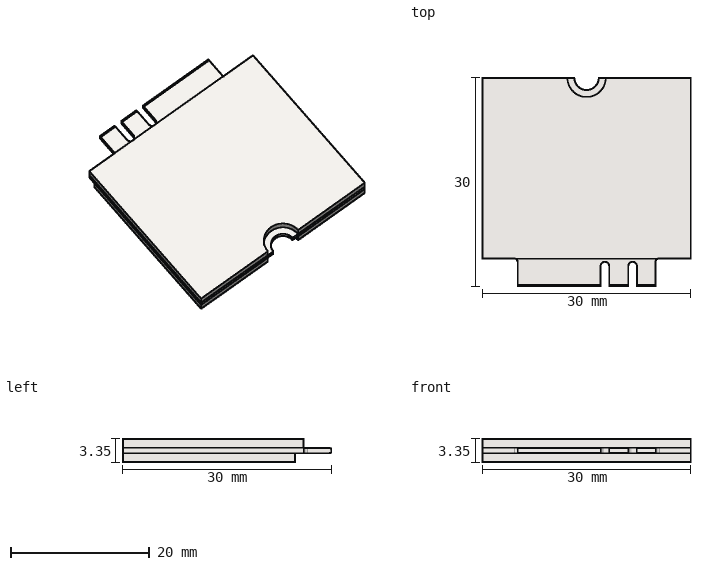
import cadquery as cq

card_width = 30.0
card_length = 30.0
card_height = 3.35
board_thickness = 0.78
cover_thickness = (card_height - board_thickness) / 2

tab_width = 19.85
tab_length = 4.0
tab_fillet = 0.5
tip_chamfer_length = 0.25
tip_chamfer_height = 0.1

key_width = 1.2
key_depth = 3.5
key_centers = (2.65, 6.63)

board_notch_radius = 1.75
cover_notch_radius = 2.75

lower_cover_setback = 1.2

back_y = card_length / 2
tip_y = -card_length / 2
shoulder_y = tip_y + tab_length
board_z = cover_thickness
upper_cover_z = board_z + board_thickness


def make_plate(front_y, base_z, thickness, notch_radius):
    """Full-width plate from front_y to the back edge, with a half-round back notch."""
    plate = cq.Workplane("XY").box(
        card_width, back_y - front_y, thickness, centered=(True, False, False)
    ).translate((0, front_y, base_z))
    notch = (
        cq.Workplane("XY", origin=(0, back_y, base_z))
        .circle(notch_radius)
        .extrude(thickness)
    )
    return plate.cut(notch)


def make_tab():
    """Connector tab with both long tip edges bevelled."""
    bevel_y = tip_y + tip_chamfer_length
    top_z = board_z + board_thickness
    return (
        cq.Workplane("YZ", origin=(-tab_width / 2, 0, 0))
        .moveTo(shoulder_y, board_z)
        .lineTo(bevel_y, board_z)
        .lineTo(tip_y, board_z + tip_chamfer_height)
        .lineTo(tip_y, top_z - tip_chamfer_height)
        .lineTo(bevel_y, top_z)
        .lineTo(shoulder_y, top_z)
        .close()
        .extrude(tab_width)
    )


def make_key_slot(center_x):
    """Cutter for a round-ended slot that opens at the tab tip."""
    radius = key_width / 2
    arc_y = tip_y + key_depth - radius
    return (
        cq.Workplane("XY", origin=(center_x, 0, board_z))
        .moveTo(-radius, tip_y)
        .lineTo(-radius, arc_y)
        .threePointArc((0, arc_y + radius), (radius, arc_y))
        .lineTo(radius, tip_y)
        .close()
        .extrude(board_thickness)
    )


def make_board():
    """Circuit board with its filleted, keyed connector tab."""
    board = make_plate(shoulder_y, board_z, board_thickness, board_notch_radius)
    board = board.union(make_tab())
    for side in (-1, 1):
        corner = (side * tab_width / 2, shoulder_y, board_z + board_thickness / 2)
        board = board.edges("|Z").edges(cq.NearestToPointSelector(corner)).fillet(tab_fillet)
    for center_x in key_centers:
        board = board.cut(make_key_slot(center_x))
    return board


board = make_board()
upper_cover = make_plate(shoulder_y, upper_cover_z, cover_thickness, cover_notch_radius)
lower_cover = make_plate(shoulder_y + lower_cover_setback, 0, cover_thickness, cover_notch_radius)

result = cq.Compound.makeCompound([board.val(), upper_cover.val(), lower_cover.val()])